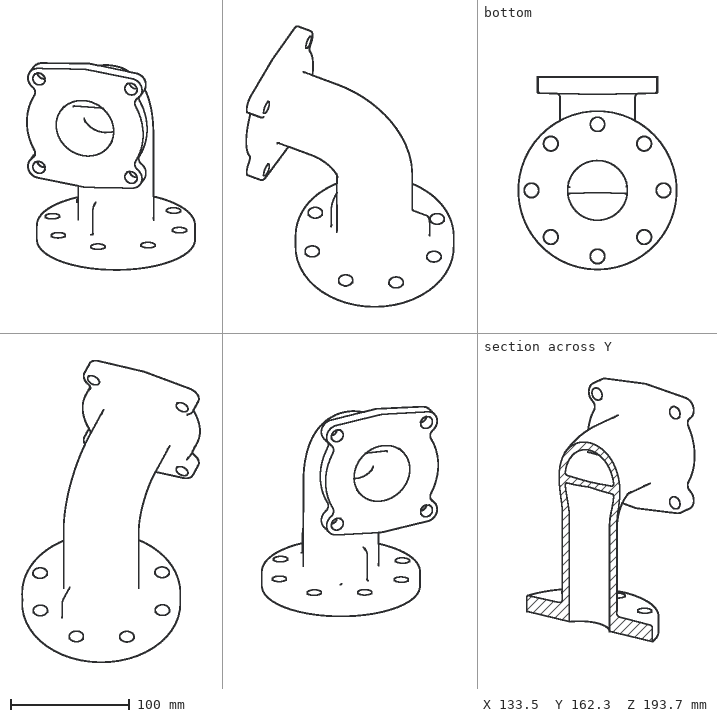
import cadquery as cq
import math

total_height = 193.7
pipe_radius = 31.8
bore_radius = 25.2
bend_radius = 46.0
outlet_height = 139.8

base_radius = 133.5 / 2
base_thickness = 15.9
base_edge_fillet = 2.0
base_hole_count = 8
base_hole_diameter = 12.0
base_bolt_radius = 55.5

total_depth = 162.3
outlet_face_y = base_radius - total_depth

flange_thickness = 14.7
flange_edge_fillet = 2.0
flange_half_height = total_height - outlet_height
flange_side_radius = 51.0
ear_offset = 40.3
ear_radius = 9.7
ear_hole_diameter = 10.7
neck_radius = 5.8

rear_pad_half_width = 18.5
rear_pad_height = 53.5
rear_pad_face_y = 43.0
front_pad_half_width = 10.3
front_pad_height = 50.4
front_pad_face_y = -36.2
pad_edge_fillet = 1.7
pad_root_fillet = 1.5

root_fillet = 3.0

flange_draft = math.radians(1)

vane_thickness = 3.7
vane_draft = math.radians(2)
vane_edge_fillet = 1.5
vane_root_fillet = 1.5
vane_wall_overlap = 2.0

box_margin = 1.0


def elbow(radius):
    """Solid rod of the given radius along the elbow's centre line."""
    bend_start = outlet_height - bend_radius
    path = (
        cq.Workplane("YZ")
        .lineTo(0, bend_start)
        .radiusArc((-bend_radius, outlet_height), -bend_radius)
        .lineTo(outlet_face_y, outlet_height)
    )
    return cq.Workplane("XY").circle(radius).sweep(path)


def drafted_flange(plate, thickness, edge_fillet):
    """Give a flat plate standing on z = 0 a roof-shaped top with its ridge on x = 0, and a round rim."""
    reach = 2 * base_radius
    eave = thickness - reach * math.tan(flange_draft)
    half_roof = (
        cq.Workplane("XZ")
        .polyline([(0, 0), (reach, 0), (reach, eave), (0, thickness)])
        .close()
        .extrude(reach, both=True)
    )
    half = plate.intersect(half_roof)
    slope = [face for face in half.faces().vals() if face.normalAt().z > math.cos(2 * flange_draft)][0]
    rim = [edge for edge in slope.Edges() if edge.Center().x > edge_fillet]
    half = half.newObject(rim).fillet(edge_fillet)
    return half.union(half.mirror("YZ"))


def base_flange():
    disc = cq.Workplane("XY").circle(base_radius).extrude(base_thickness)
    return drafted_flange(disc, base_thickness, base_edge_fillet)


def point_toward(start, end, distance):
    """Point at the given distance from start on the way to end."""
    span = math.dist(start, end)
    return tuple(a + (b - a) * distance / span for a, b in zip(start, end))


def outlet_quarter_points():
    """Tangent points of the outline in the quarter with x > 0 and height > 0."""
    axis = (0, 0)
    ear = (ear_offset, ear_offset)
    ear_distance = math.hypot(*ear)

    peak_dx = ear_offset
    peak_dz = ear_offset - flange_half_height
    peak_distance = math.hypot(peak_dx, peak_dz)
    normal_angle = math.atan2(peak_dz, peak_dx) + math.asin(ear_radius / peak_distance) + math.pi / 2
    top = (
        ear_offset + ear_radius * math.cos(normal_angle),
        ear_offset + ear_radius * math.sin(normal_angle),
    )

    axis_to_neck = flange_side_radius + neck_radius
    ear_to_neck = ear_radius + neck_radius
    cos_turn = (axis_to_neck**2 + ear_distance**2 - ear_to_neck**2) / (2 * axis_to_neck * ear_distance)
    neck_angle = math.pi / 4 - math.acos(cos_turn)
    neck = (axis_to_neck * math.cos(neck_angle), axis_to_neck * math.sin(neck_angle))

    ear_mid = point_toward(ear, (2 * ear_offset, ear_offset), ear_radius)
    ear_end = point_toward(ear, neck, ear_radius)
    neck_end = point_toward(neck, axis, neck_radius)
    neck_chord_mid = tuple((a + b) / 2 for a, b in zip(ear_end, neck_end))
    neck_mid = point_toward(neck, neck_chord_mid, neck_radius)
    return top, ear_mid, ear_end, neck_mid, neck_end


def outlet_flange():
    quarter = outlet_quarter_points()
    outline = cq.Workplane("XY").moveTo(0, flange_half_height)
    for side in (1, -1):
        top, ear_mid, ear_end, neck_mid, neck_end = [(side * x, side * z) for x, z in quarter]
        low_quarter = [(side * x, -side * z) for x, z in quarter]
        low_top, low_ear_mid, low_ear_end, low_neck_mid, low_neck_end = low_quarter
        outline = (
            outline.lineTo(*top)
            .threePointArc(ear_mid, ear_end)
            .threePointArc(neck_mid, neck_end)
            .threePointArc((side * flange_side_radius, 0), low_neck_end)
            .threePointArc(low_neck_mid, low_ear_end)
            .threePointArc(low_ear_mid, low_top)
            .lineTo(0, -side * flange_half_height)
        )
    plate = outline.close().extrude(flange_thickness)
    flange = drafted_flange(plate, flange_thickness, flange_edge_fillet)
    return flange.rotate((0, 0, 0), (1, 0, 0), -90).translate((0, outlet_face_y, outlet_height))


def pad(half_width, height, face_y):
    """Round-topped pad standing on z = 0, reaching from the pipe axis to a face with rounded edges."""
    arc_height = height - half_width
    return (
        cq.Workplane("XZ")
        .moveTo(-half_width, 0)
        .lineTo(-half_width, arc_height)
        .threePointArc((0, height), (half_width, arc_height))
        .lineTo(half_width, 0)
        .close()
        .extrude(-face_y)
        .faces(">Y" if face_y > 0 else "<Y")
        .edges("not <Z")
        .fillet(pad_edge_fillet)
    )


def base_holes():
    return (
        cq.Workplane("XY")
        .polarArray(base_bolt_radius, 0, 360, base_hole_count)
        .circle(base_hole_diameter / 2)
        .extrude(base_thickness)
    )


def ear_holes():
    return (
        cq.Workplane("XZ", origin=(0, outlet_face_y, outlet_height))
        .rect(2 * ear_offset, 2 * ear_offset, forConstruction=True)
        .vertices()
        .circle(ear_hole_diameter / 2)
        .extrude(-flange_thickness)
    )


def vane():
    """Quarter ring about the bend axis, reaching through the bore wall, with rounded end edges."""
    reach = bore_radius + vane_wall_overlap
    inner = bend_radius - vane_thickness / 2
    outer = bend_radius + vane_thickness / 2
    flare = reach * math.tan(vane_draft)
    profile = [
        (-reach, inner - flare),
        (0, inner),
        (reach, inner - flare),
        (reach, outer + flare),
        (0, outer),
        (-reach, outer + flare),
    ]
    ring = cq.Workplane("XY").polyline(profile).close().revolve(90, (0, 0, 0), (1, 0, 0))
    ring = ring.faces("<Z or <Y").edges("not(<X or >X)").fillet(vane_edge_fillet)
    return ring.translate((0, -bend_radius, outlet_height - bend_radius))


def edges_in_box(body, center, half_size):
    """Edges of the body lying wholly inside a box."""
    low = tuple(c - h for c, h in zip(center, half_size))
    high = tuple(c + h for c, h in zip(center, half_size))
    return body.edges(cq.selectors.BoxSelector(low, high, boundingbox=True))


def blend_pad(body, half_width, height, face_y):
    """Round the corner where a pad's flanks and top meet the pipe."""
    flank_y = math.sqrt(pipe_radius**2 - half_width**2)
    center_y = math.copysign((flank_y + pipe_radius) / 2, face_y)
    center = (0, center_y, (base_thickness + height) / 2)
    half_size = (
        half_width + box_margin,
        (pipe_radius - flank_y) / 2 + box_margin,
        (height - base_thickness) / 2 + box_margin,
    )
    return edges_in_box(body, center, half_size).fillet(pad_root_fillet)


def blend_flanges(body):
    """Round the corners where the flanges meet the pipe and the pads."""
    reach = rear_pad_face_y + root_fillet
    base_center = (0, 0, base_thickness)
    body = edges_in_box(body, base_center, (reach, reach, box_margin)).fillet(root_fillet)
    outlet_center = (0, outlet_face_y + flange_thickness, outlet_height)
    return edges_in_box(body, outlet_center, (reach, box_margin, reach)).fillet(root_fillet)


def divided_bore():
    """Bore with the vane left standing in it, blended into the bore wall."""
    bore = elbow(bore_radius).cut(vane())
    reach = bend_radius + vane_thickness
    for side in (1, -1):
        center = (side * bore_radius, -bend_radius, outlet_height - bend_radius)
        bore = edges_in_box(bore, center, (box_margin, reach, reach)).fillet(vane_root_fillet)
    return bore


pads = [
    (rear_pad_half_width, rear_pad_height, rear_pad_face_y),
    (front_pad_half_width, front_pad_height, front_pad_face_y),
]

body = elbow(pipe_radius).union(base_flange()).union(outlet_flange())
for pad_size in pads:
    body = body.union(pad(*pad_size))
for pad_size in pads:
    body = blend_pad(body, *pad_size)
body = blend_flanges(body)

result = body.cut(divided_bore()).cut(base_holes()).cut(ear_holes())